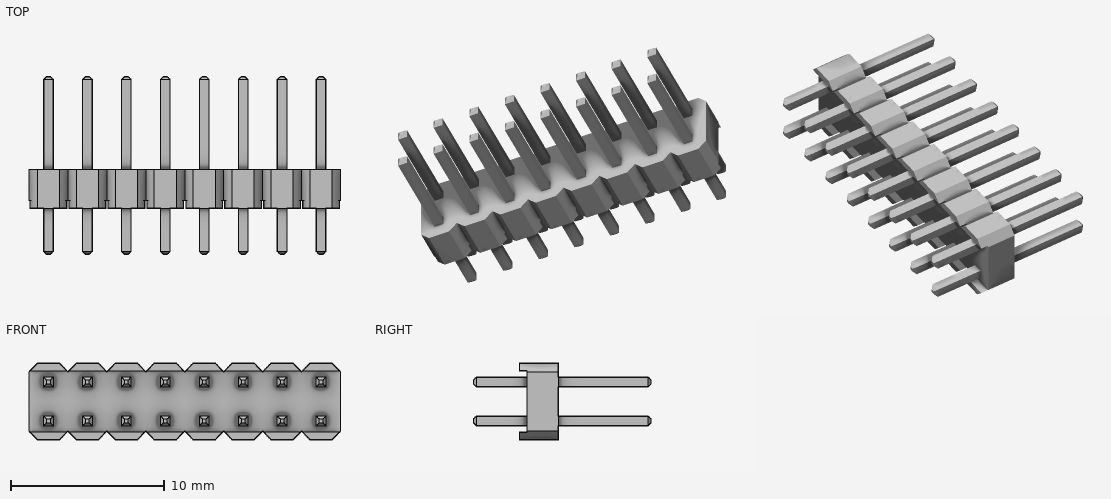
import cadquery as cq

pitch = 2.54
columns = 8
rows = 2

pin_size = 0.64
tip_taper = 0.2
pin_length = 11.6
pin_front_reach = 3.0

body_length = columns * pitch
body_height = 5.0
body_depth = 2.54
corner_cut_x = 0.55
corner_cut_z = 0.57
face_recess = 0.5
lip_height = 0.5

pin_front = -pin_length / 2
body_front = pin_front + pin_front_reach


def centred_positions(count):
    """Positions spaced by the pitch, symmetric about zero."""
    return [(i - (count - 1) / 2) * pitch for i in range(count)]


def make_lobe(x):
    """One octagonal body segment, holding one column of pins."""
    half_width = pitch / 2
    half_height = body_height / 2
    flat_half_width = half_width - corner_cut_x
    side_half_height = half_height - corner_cut_z
    outline = [
        (half_width, side_half_height),
        (flat_half_width, half_height),
        (-flat_half_width, half_height),
        (-half_width, side_half_height),
        (-half_width, -side_half_height),
        (-flat_half_width, -half_height),
        (flat_half_width, -half_height),
        (half_width, -side_half_height),
    ]
    lobe = cq.Workplane("XZ").polyline(outline).close().extrude(-body_depth)
    return lobe.translate((x, body_front, 0))


def make_front_recess():
    """Full-length channel that leaves a lip along the top and bottom of the front."""
    channel_height = body_height - 2 * lip_height
    channel = cq.Workplane("XY").box(body_length, face_recess, channel_height)
    return channel.translate((0, body_front + face_recess / 2, 0))


def make_pin(x, z):
    """Square pin with both ends bevelled on all four sides."""
    pin = cq.Workplane("XY").box(pin_size, pin_length, pin_size)
    pin = pin.faces("<Y or >Y").chamfer(tip_taper)
    return pin.translate((x, 0, z))


def make_body():
    """Row of lobes joined edge to edge, with the recessed front face."""
    body = cq.Workplane("XY")
    for x in centred_positions(columns):
        body = body.union(make_lobe(x))
    return body.cut(make_front_recess()).clean()


result = make_body()
for pin_x in centred_positions(columns):
    for pin_z in centred_positions(rows):
        result = result.union(make_pin(pin_x, pin_z))